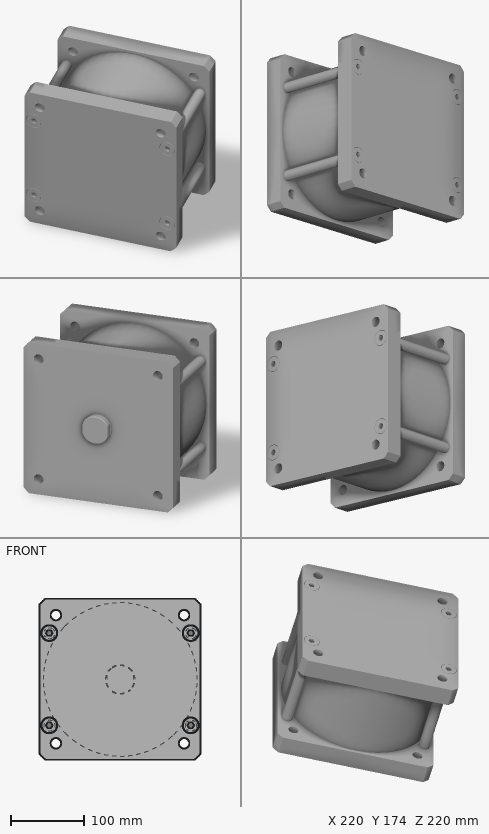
import cadquery as cq
import math

plate_side = 220.0
plate_thickness = 26.0
barrel_length = 110.0
rod_end_length = 12.0
plate_pitch = plate_thickness + barrel_length
back_face_y = plate_pitch + plate_thickness

corner_cut = 8.0
half_side = plate_side / 2
corner_circle_radius = math.hypot(half_side, half_side - corner_cut)
mount_hole_diameter = 14.0
mount_hole_spacing = 175.1

barrel_diameter = 210.0

tie_rod_diameter = 15.0
tie_rod_spacing_x = 193.2
tie_rod_spacing_z = 126.0
counterbore_diameter = 22.0
screw_head_diameter = 21.0
screw_head_height = 14.0
hex_across_flats = 8.0
hex_depth = 7.0

rod_end_diameter = 40.0
rod_end_chamfer = 0.9
wrench_across_flats = 36.0
wrench_flat_length = 10.1


def section_at(y):
    """Sketch plane facing +Y at the given Y, with local x along -X and local y along +Z."""
    return cq.Workplane(cq.Plane(origin=(0, y, 0), xDir=(-1, 0, 0), normal=(0, 1, 0)))


def cylinder(y, diameter, length):
    return section_at(y).circle(diameter / 2).extrude(length)


def tie_rod_centers(y):
    return section_at(y).rarray(tie_rod_spacing_x, tie_rod_spacing_z, 2, 2)


def make_plate(y):
    square = section_at(y).rect(plate_side, plate_side).extrude(plate_thickness)
    trimmed = square.intersect(cylinder(y, 2 * corner_circle_radius, plate_thickness))
    holes = (
        section_at(y)
        .rarray(mount_hole_spacing, mount_hole_spacing, 2, 2)
        .circle(mount_hole_diameter / 2)
        .extrude(plate_thickness)
    )
    return trimmed.cut(holes)


def make_tie_rods():
    return tie_rod_centers(plate_thickness).circle(tie_rod_diameter / 2).extrude(barrel_length)


def make_head_clearances():
    """Thin ring-shaped gaps around the screw heads, which sit flush with the front face."""
    return (
        tie_rod_centers(0)
        .circle(counterbore_diameter / 2)
        .extrude(screw_head_height)
        .cut(tie_rod_centers(0).circle(screw_head_diameter / 2).extrude(screw_head_height))
    )


def make_hex_sockets():
    across_corners = hex_across_flats / math.cos(math.radians(30))
    return tie_rod_centers(0).polygon(6, across_corners).extrude(hex_depth)


def make_rod_end():
    rod_end = cylinder(back_face_y, rod_end_diameter, rod_end_length)
    rod_end = rod_end.faces(">Y").chamfer(rod_end_chamfer)
    flats_start = back_face_y + rod_end_length - wrench_flat_length
    between_flats = (
        section_at(flats_start).rect(wrench_across_flats, rod_end_diameter).extrude(wrench_flat_length)
    )
    shoulder = cylinder(back_face_y, rod_end_diameter, rod_end_length - wrench_flat_length)
    return rod_end.intersect(between_flats.union(shoulder))


result = (
    make_plate(0)
    .cut(make_head_clearances())
    .cut(make_hex_sockets())
    .union(cylinder(plate_thickness, barrel_diameter, barrel_length))
    .union(make_tie_rods())
    .union(make_plate(plate_pitch))
    .union(make_rod_end())
)